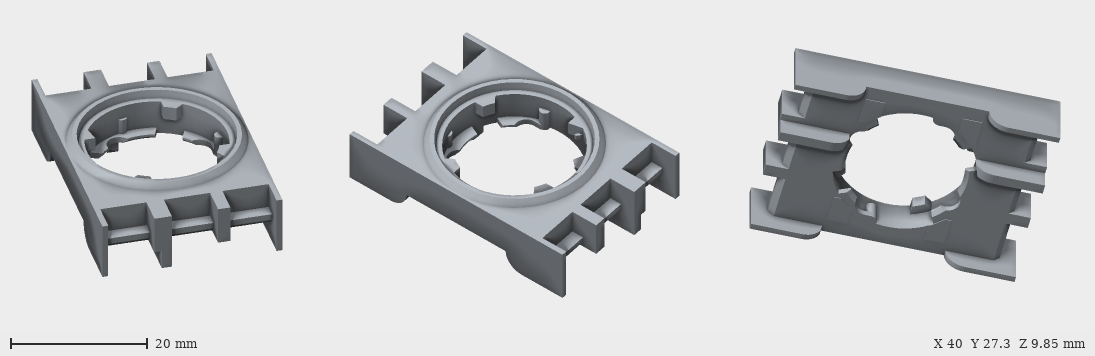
import cadquery as cq
import math

LENGTH = 40.0
WIDTH = 27.3
PLATE_TOP = 8.9
RING_HEIGHT = 0.95
BODY_BOTTOM = 3.0

BODY_LENGTH = 31.05
SIDE_THICKNESS = 0.9
BAY_WIDTH = 7.0
NARROW_RIB = 1.9
ARCH_HALF_SPAN = 9.3
RIB_FOOT_WIDTH = 1.5

LIP_REACH = 2.0
LIP_TOP = 4.9
LIP_FACE_BOTTOM = 3.9
LIP_SLOPE_REACH = 0.9

RING_BASE_RADIUS = 13.4
RING_TOP_RADIUS = 12.45
MOUTH_TOP_RADIUS = 11.75
LEDGE_RADIUS = 11.45
LEDGE_Z = 8.55
BORE_RADIUS = 10.6

WALL_OVERLAP = 0.4
CUTTER_REACH = 2 * BORE_RADIUS
TAB_BOTTOM = 6.4
TAB_AXES = (63.0, 153.0, 333.0)
TAB_HALF_ANGLE = 27.0
TAB_APEX_RADIUS = 7.3
TAB_INNER_RADIUS = 9.2
TRIMMED_TAB_OUTLINE = [(-5.6, -9.0), (-3.25, -8.5), (-3.25, -10.4), (-5.6, -9.4)]
SPUR_OUTLINE = [(-5.7, -9.1), (-4.95, -8.2), (-4.6, -8.25), (-4.9, -9.1)]
SPUR_TOP = 7.2

FLANGE_TOP = 3.95
FLANGE_FACE_HEIGHT = 0.35
FLANGE_INNER_RADIUS = 8.8
SLOT_TILT = -24.0
SLOT_NEAR_OFFSET = 1.7
SLOT_FAR_OFFSET = 2.45
NOTCH_RADIUS = 1.9
NOTCH_CENTRE_RADIUS = 8.3
NOTCH_ANGLE = 26.7

PIN_RADIUS = 0.85
LARGE_PIN_CENTRE_RADIUS = 10.5
LARGE_PIN_ANGLE = 103.9
SMALL_PIN_CENTRE_RADIUS = 11.0
SMALL_PIN_ANGLE = 13.3

PAD_HEIGHT = 0.1
PAD_X = (5.9, 8.8)
PAD_Y = (7.15, 11.45)

SIDE_INNER_Y = WIDTH / 2 - SIDE_THICKNESS
NARROW_RIB_TOP = SIDE_INNER_Y - BAY_WIDTH
NARROW_RIB_BOTTOM = NARROW_RIB_TOP - NARROW_RIB
WIDE_RIB_TOP = NARROW_RIB_BOTTOM - BAY_WIDTH
WIDE_RIB_BOTTOM = BAY_WIDTH - SIDE_INNER_Y


def box(x0, x1, y0, y1, z0, z1):
    """Axis-aligned box between two opposite corners."""
    return cq.Workplane("XY").box(x1 - x0, y1 - y0, z1 - z0, centered=False).translate((x0, y0, z0))


def cylinder(radius, z0, z1, x=0.0, y=0.0):
    """Vertical cylinder between two heights."""
    return cq.Workplane("XY", origin=(x, y, z0)).circle(radius).extrude(z1 - z0)


def polar(radius, angle):
    """Point at a radius and an angle in degrees."""
    return radius * math.cos(math.radians(angle)), radius * math.sin(math.radians(angle))


def turned(solid, angle):
    """Solid turned about the bore axis."""
    return solid.rotate((0, 0, 0), (0, 0, 1), angle)


def arched_plate(y0, y1):
    """Full-length plate standing on two feet joined by a round-cornered arch."""
    half = LENGTH / 2
    toe = ARCH_HALF_SPAN + BODY_BOTTOM
    inset = BODY_BOTTOM * (1 - math.sqrt(0.5))
    profile = (
        cq.Workplane("XZ", origin=(0, y1, 0))
        .moveTo(-half, 0)
        .lineTo(-toe, 0)
        .threePointArc((-ARCH_HALF_SPAN - inset, inset), (-ARCH_HALF_SPAN, BODY_BOTTOM))
        .lineTo(ARCH_HALF_SPAN, BODY_BOTTOM)
        .threePointArc((ARCH_HALF_SPAN + inset, inset), (toe, 0))
        .lineTo(half, 0)
        .lineTo(half, PLATE_TOP)
        .lineTo(-half, PLATE_TOP)
        .close()
    )
    return profile.extrude(y1 - y0)


def end_lips():
    """Lip along both ends of the block, sloped on its underside."""
    wall = BODY_LENGTH / 2
    tip = wall + LIP_REACH
    lip = (
        cq.Workplane("XZ", origin=(0, SIDE_INNER_Y, 0))
        .moveTo(0, BODY_BOTTOM)
        .lineTo(tip - LIP_SLOPE_REACH, BODY_BOTTOM)
        .lineTo(tip, LIP_FACE_BOTTOM)
        .lineTo(tip, LIP_TOP)
        .lineTo(0, LIP_TOP)
        .close()
        .extrude(2 * SIDE_INNER_Y)
    )
    return lip.union(lip.mirror("YZ"))


def frame():
    """Block with side plates, end ribs and lips."""
    half = LENGTH / 2
    wall = BODY_LENGTH / 2
    solid = box(-wall, wall, -SIDE_INNER_Y, SIDE_INNER_Y, BODY_BOTTOM, PLATE_TOP)
    solid = solid.union(end_lips())
    solid = solid.union(arched_plate(SIDE_INNER_Y, WIDTH / 2))
    solid = solid.union(arched_plate(-WIDTH / 2, -SIDE_INNER_Y))
    solid = solid.union(arched_plate(WIDE_RIB_TOP - RIB_FOOT_WIDTH, WIDE_RIB_TOP))
    solid = solid.union(box(-half, half, WIDE_RIB_BOTTOM, WIDE_RIB_TOP, BODY_BOTTOM, PLATE_TOP))
    return solid.union(box(-half, half, NARROW_RIB_BOTTOM, NARROW_RIB_TOP, BODY_BOTTOM, PLATE_TOP))


def underside_pads():
    """Four thin pads placed symmetrically under the block."""
    pad = box(*PAD_X, *PAD_Y, BODY_BOTTOM - PAD_HEIGHT, BODY_BOTTOM)
    pads = pad.union(pad.mirror("YZ"))
    return pads.union(pads.mirror("XZ"))


def ring():
    """Conical ring on top of the plate."""
    return (
        cq.Workplane("XY", origin=(0, 0, PLATE_TOP))
        .circle(RING_BASE_RADIUS)
        .workplane(offset=RING_HEIGHT)
        .circle(RING_TOP_RADIUS)
        .loft(ruled=True)
    )


def bore():
    """Through bore with a tapered mouth that ends on a flat ledge."""
    mouth_top = PLATE_TOP + RING_HEIGHT
    mouth = (
        cq.Workplane("XY", origin=(0, 0, LEDGE_Z))
        .circle(LEDGE_RADIUS)
        .workplane(offset=mouth_top - LEDGE_Z)
        .circle(MOUTH_TOP_RADIUS)
        .loft(ruled=True)
    )
    return mouth.union(cylinder(BORE_RADIUS, 0, mouth_top))


def wall_band(inner_radius, z0, z1):
    """Annular band lining the bore and reaching slightly into its wall."""
    return cylinder(BORE_RADIUS + WALL_OVERLAP, z0, z1).cut(cylinder(inner_radius, z0, z1))


def upper_tab(axis):
    """Wedge-shaped tab level with the ledge, its flanks meeting at an apex inside the bore."""
    apex_x, apex_y = polar(TAB_APEX_RADIUS, axis)
    left_x, left_y = polar(CUTTER_REACH, axis + TAB_HALF_ANGLE)
    right_x, right_y = polar(CUTTER_REACH, axis - TAB_HALF_ANGLE)
    wedge = (
        cq.Workplane("XY", origin=(apex_x, apex_y, TAB_BOTTOM))
        .polyline([(0, 0), (right_x, right_y), (left_x, left_y)])
        .close()
        .extrude(LEDGE_Z - TAB_BOTTOM)
    )
    return wedge.intersect(wall_band(TAB_INNER_RADIUS, TAB_BOTTOM, LEDGE_Z))


def trimmed_tab():
    """Tab cut back to a slanted inner edge, with a small spur beside it at a lower level."""
    tab = cq.Workplane("XY", origin=(0, 0, TAB_BOTTOM)).polyline(TRIMMED_TAB_OUTLINE).close()
    spur = cq.Workplane("XY", origin=(0, 0, TAB_BOTTOM)).polyline(SPUR_OUTLINE).close()
    return tab.extrude(LEDGE_Z - TAB_BOTTOM).union(spur.extrude(SPUR_TOP - TAB_BOTTOM))


def flange_notch(angle):
    """Round notch cutter for the inner edge of a flange."""
    return cylinder(NOTCH_RADIUS, BODY_BOTTOM, FLANGE_TOP, *polar(NOTCH_CENTRE_RADIUS, angle))


def flange_band():
    """Full ring of flange, its underside bevelled at 45 degrees up to a low inner face."""
    bevel = FLANGE_TOP - FLANGE_FACE_HEIGHT - BODY_BOTTOM
    outer = BORE_RADIUS + WALL_OVERLAP
    return (
        cq.Workplane("XZ")
        .moveTo(outer, BODY_BOTTOM)
        .lineTo(FLANGE_INNER_RADIUS + bevel, BODY_BOTTOM)
        .lineTo(FLANGE_INNER_RADIUS, BODY_BOTTOM + bevel)
        .lineTo(FLANGE_INNER_RADIUS, FLANGE_TOP)
        .lineTo(outer, FLANGE_TOP)
        .close()
        .revolve(360, (0, 0, 0), (0, 1, 0))
    )


def flange_sector(u0, u1, v0, v1):
    """Part of the flange band inside a rectangle of the tilted slot directions."""
    window = box(u0, u1, v0, v1, BODY_BOTTOM, FLANGE_TOP)
    return flange_band().intersect(turned(window, SLOT_TILT))


def notched_flange():
    """Flange with straight ends and a complete round notch."""
    sector = flange_sector(SLOT_FAR_OFFSET, CUTTER_REACH, SLOT_NEAR_OFFSET, CUTTER_REACH)
    return sector.cut(flange_notch(NOTCH_ANGLE))


def pin_flange():
    """Flange whose notch runs out tangentially into the large pin."""
    notch_angle = NOTCH_ANGLE + 90
    notch_x, notch_y = polar(NOTCH_CENTRE_RADIUS, notch_angle)
    pin_x = polar(LARGE_PIN_CENTRE_RADIUS, LARGE_PIN_ANGLE)[0]
    runout = box(notch_x, 0, 0, notch_y + NOTCH_RADIUS, BODY_BOTTOM, FLANGE_TOP)
    beyond_pin = box(pin_x, CUTTER_REACH, 0, CUTTER_REACH, BODY_BOTTOM, FLANGE_TOP)
    sector = flange_sector(-CUTTER_REACH, 0, SLOT_FAR_OFFSET, CUTTER_REACH)
    return sector.cut(flange_notch(notch_angle)).cut(runout).cut(beyond_pin)


def pin(centre_radius, angle):
    """Half-round pin on the bore wall, running up to the underside level of the tabs."""
    post = cylinder(PIN_RADIUS, BODY_BOTTOM, TAB_BOTTOM, *polar(centre_radius, angle))
    return post.intersect(cylinder(BORE_RADIUS + WALL_OVERLAP, BODY_BOTTOM, TAB_BOTTOM))


result = frame().union(underside_pads()).union(ring()).cut(bore())

for tab_axis in TAB_AXES:
    result = result.union(upper_tab(tab_axis))
result = result.union(trimmed_tab())

for half_turn in (0, 180):
    result = result.union(turned(notched_flange(), half_turn))
    result = result.union(turned(pin_flange(), half_turn))
    result = result.union(turned(pin(LARGE_PIN_CENTRE_RADIUS, LARGE_PIN_ANGLE), half_turn))
    result = result.union(turned(pin(SMALL_PIN_CENTRE_RADIUS, SMALL_PIN_ANGLE), half_turn))